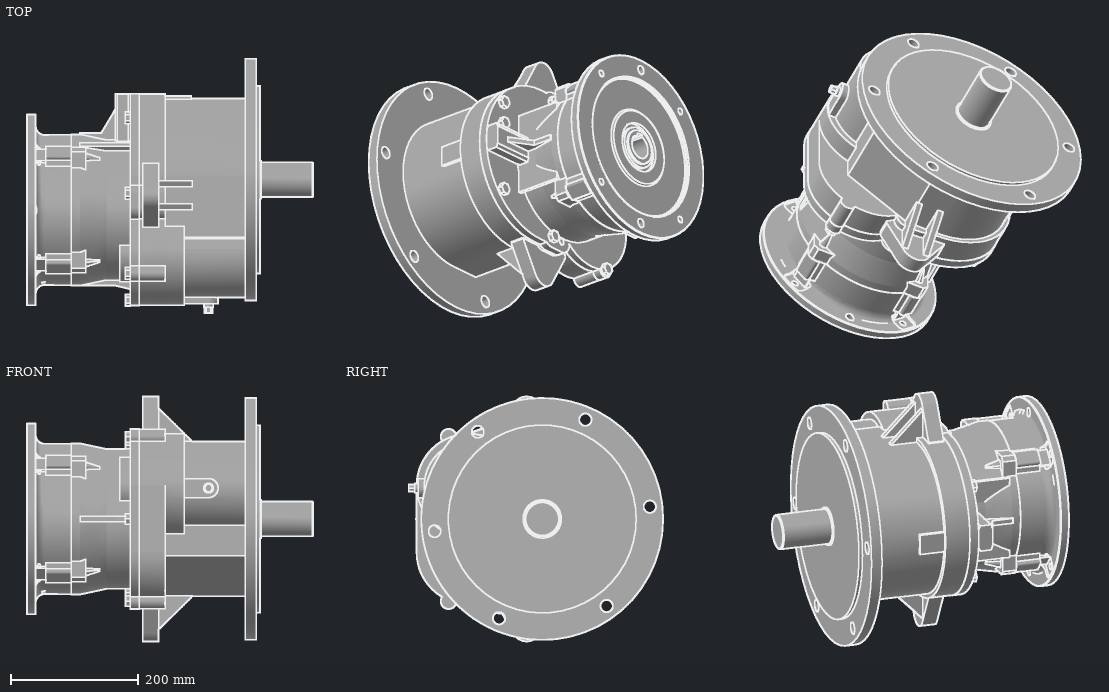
import cadquery as cq
import math


TOTAL_LENGTH = 450.0
MOTOR_FLANGE_THICK = 14.5
BARREL_START = 29.0
BARREL_STEP = 70.0
CONE_START = 83.5
CONE_END = 122.5
NECK_START = 125.0
COVER_START = 162.5
COVER_THICK = 14.5
GEARCASE_END = 217.5
PINION_CASE_END = 247.5
SPIGOT_LENGTH = 6.0
OUTPUT_FLANGE_START = 343.0
OUTPUT_FLANGE_THICK = 17.5
OUTPUT_FLANGE_END = OUTPUT_FLANGE_START + OUTPUT_FLANGE_THICK
SPIGOT_END = OUTPUT_FLANGE_END + SPIGOT_LENGTH
COVER_END = COVER_START + COVER_THICK

INPUT_Y = -47.5
WHEEL_Y = 6.0
PINION_Y = -115.5
PINION_Z = 52.0

MOTOR_FLANGE_DIA = 300.0
MOTOR_BOLT_CIRCLE = 265.0
BARREL_RADIUS = 118.8
BARREL_RELIEF = 0.5
NECK_RADIUS = 110.0
NECK_BLEND = 0.6
FLANGE_FILLET_RADIUS = 130.0
FLANGE_RIM_CHAMFER = 1.0
MOTOR_HOLE_DIA = 14.0
LUG_HOLE_DIA = 10.2
SPOTFACE_WIDTH = 38.0
SPOTFACE_OUTER_RADIUS = 146.0
SPOTFACE_CORNER = 8.0
SPOTFACE_START = 11.5
LUG_WIDTH = 26.0
LUG_RADIUS = 131.0
LUG_FLARE_WIDTH = 40.0
LUG_FLARE_RADIUS = 123.0
LUG_FLARE_BASE = 116.5
PEDESTAL_RADIUS = 122.0
LUG_START = 30.0
LUG_EDGE_FILLET = 4.0
LUG_BLOCK_OUTER = 98.4
LUG_BLOCK_SIDE = 40.0
LUG_BLOCK_CHAMFER = 7.0
LUG_BLOCK_END = 92.4
LUG_TAIL_DIA = 14.0
LUG_TAIL_CENTRE = 82.3
LUG_TAIL_TIP_DIA = 4.0
LUG_TAIL_TIP_CENTRE = 80.0
LUG_TAIL_END = 115.0

RECESS_DIA = 230.0
RECESS_STEP_DEPTH = 3.5
RECESS_INNER_DIA = 225.0
RECESS_DEPTH = 7.0
RING_OUTER_DIA = 126.0
RING_FACE_DIA = 120.0
RING_HEIGHT = 3.0
SEAL_POCKET_DIA = 80.0
SEAL_POCKET_DEPTH = 9.5
HUB_DIA = 66.4
HUB_NOSE_DIA = 55.0
HUB_FACE = 5.0
HUB_NOSE_FACE = 2.0
BORE_DIA = 38.0
BORE_DEPTH = 80.0
KEY_WIDTH = 10.0
KEY_TOP = 22.3

WHEEL_CASE_RADIUS = 129.0
PINION_CASE_RADIUS = 82.0
CASE_INSET = 0.4
CORNER_BOSS_Y = -147.0
CORNER_BOSS_Z = 129.0
CORNER_BOSS_RADIUS = 12.5
BUMP_RADIUS = 18.0
BUMP_BOLT_Y = -21.0
BUMP_Z = 116.0
BUMP_HOLE_Y = -44.0
BUMP_HOLE_DIA = 10.2
BOLT_HEX_DIA = 19.0
BOLT_HEAD_HEIGHT = 7.5
EXTRA_BOLTS = [(97.0, 75.0), (97.0, -75.0), (97.0, 39.0), (-189.0, 0.0)]
PAD_RADIUS = 45.0
PAD_HEIGHT = 16.5

BODY_RADIUS = 121.7
BODY_PINION_RADIUS = BODY_RADIUS - PINION_Z
BODY_WALL_Y = -147.0
BODY_WALL_BOTTOM_Z = -58.0
BODY_KEEL_Y = -45.0
GROOVE_START_Y = -90.0
GROOVE_BOTTOM_Y = -93.0
GROOVE_END_Y = -109.0
GROOVE_DEPTH = 4.0

OUTPUT_FLANGE_DIA = 380.0
SPIGOT_DIA = 295.0
OUTPUT_HOLE_DIA = 19.0
OUTPUT_BOLT_RADIUS = 170.0
OUTPUT_HOLE_COUNT = 6
OUTPUT_HOLE_START = 6.5
SHAFT_DIA = 55.0
COLLAR_DIA = 60.0
COLLAR_LENGTH = 2.0
SHAFT_CHAMFER = 1.5

FOOT_TIP_Z = 384.85 / 2
FOOT_Y = -24.5
FOOT_TIP_RADIUS = 23.0
FOOT_HALF_WIDTH = 50.0
FOOT_START = 182.0
FOOT_END = 207.0
FOOT_SLOPE = math.radians(60)
GUSSET_THICK = 9.5
GUSSET_OFFSET = 18.2
GUSSET_LENGTH = 53.0
GUSSET_TOP_Z = 174.0

RIB_THICK = 8.0
RIB_HEIGHT = 121.0
BRACKET_START = 139.0
BRACKET_INNER_Y = 60.0
BRACKET_OUTER_Y = 134.8
BRACKET_WIDTH = 42.0
BRACKET_EDGE_X = 3.0
BRACKET_EDGE_Z = 6.0
RIB_SLOPE_START = 117.0
RIB_TOP_Y = 110.5
SIDE_RIB_START = 84.0
SIDE_RIB_END_RADIUS = 124.5
WEB_OUTER_Y = 58.0
WEB_CREST_Y = 52.5
WEB_FOOT_Y = 45.0
WEB_CREST_Z = 66.0
WEB_FOOT_Z = 59.0

PLUG_X = 285.5
PLUG_Z = 48.5
PLUG_PAD_RADIUS = 15.0
PLUG_PAD_Y = -195.0
PLUG_COLLAR_DIA = 15.0
PLUG_COLLAR_HEIGHT = 5.5
PLUG_HEX_DIA = 13.0
PLUG_END_Y = -209.58
STRIP_LENGTH = 41.0
STRIP_OUTER_Y = 131.5
STRIP_DEPTH = 6.0
STRIP_WIDTH = 32.0


def section(x, y=0.0, z=0.0):
    """Workplane square to X; its axes are Y and Z, extruding toward +X."""
    return cq.Workplane("YZ", origin=(x, y, z))


def disc(x0, x1, dia, y=0.0, z=0.0):
    """Round bar along X between two stations."""
    return section(x0, y, z).circle(dia / 2).extrude(x1 - x0)


def block(x0, x1, y0, y1, z0, z1):
    """Box given by its limits."""
    return cq.Workplane().box(x1 - x0, y1 - y0, z1 - z0, centered=False).translate((x0, y0, z0))


def both_sides(solid):
    """The solid joined with its mirror image across Z = 0."""
    return solid.union(solid.mirror("XY"))


def around_input(solid, count, start):
    """Copies of a solid spaced evenly about the input axis."""
    axis_start = (0, INPUT_Y, 0)
    axis_end = (1, INPUT_Y, 0)
    copies = solid.rotate(axis_start, axis_end, start)
    for index in range(1, count):
        copies = copies.union(solid.rotate(axis_start, axis_end, start + index * 360.0 / count))
    return copies


def make_barrel():
    """Turned motor flange, relieved barrel, cone and neck."""
    rim = MOTOR_FLANGE_DIA / 2
    relief_radius = BARREL_RADIUS - BARREL_RELIEF
    drop = FLANGE_FILLET_RADIUS - relief_radius
    run = BARREL_START - MOTOR_FLANGE_THICK
    middle = (
        BARREL_START - run * math.sin(math.pi / 4),
        FLANGE_FILLET_RADIUS - drop * math.sin(math.pi / 4),
    )
    profile = (
        cq.Workplane("XY")
        .moveTo(0, 0)
        .lineTo(0, rim - FLANGE_RIM_CHAMFER)
        .lineTo(FLANGE_RIM_CHAMFER, rim)
        .lineTo(MOTOR_FLANGE_THICK - FLANGE_RIM_CHAMFER, rim)
        .lineTo(MOTOR_FLANGE_THICK, rim - FLANGE_RIM_CHAMFER)
        .lineTo(MOTOR_FLANGE_THICK, FLANGE_FILLET_RADIUS)
        .threePointArc(middle, (BARREL_START, relief_radius))
        .lineTo(BARREL_STEP, relief_radius)
        .lineTo(BARREL_STEP, BARREL_RADIUS)
        .lineTo(CONE_START, BARREL_RADIUS)
        .lineTo(CONE_END, NECK_RADIUS + NECK_BLEND)
        .lineTo(NECK_START, NECK_RADIUS)
        .lineTo(COVER_START, NECK_RADIUS)
        .lineTo(COVER_START, 0)
        .close()
    )
    return profile.revolve(360, (0, 0, 0), (1, 0, 0)).translate((0, INPUT_Y, 0))


def make_lugs():
    """Four flared clamp lugs at 45 degrees, each with a pedestal, a square block and a tail."""
    half = LUG_WIDTH / 2
    flare = LUG_FLARE_WIDTH / 2
    lug = (
        section(LUG_START)
        .moveTo(-flare, LUG_FLARE_BASE)
        .lineTo(-half, LUG_FLARE_RADIUS)
        .lineTo(-half, LUG_RADIUS)
        .lineTo(half, LUG_RADIUS)
        .lineTo(half, LUG_FLARE_RADIUS)
        .lineTo(flare, LUG_FLARE_BASE)
        .lineTo(0, NECK_RADIUS)
        .close()
        .extrude(BARREL_STEP - LUG_START)
    )
    lug = lug.edges("|X and >Z").fillet(LUG_EDGE_FILLET)
    pedestal = block(SPOTFACE_START, LUG_START, -half, half, NECK_RADIUS, PEDESTAL_RADIUS)
    lug = lug.union(pedestal).translate((0, INPUT_Y, 0))
    inner = LUG_BLOCK_OUTER - LUG_BLOCK_SIDE
    end = block(BARREL_STEP, LUG_BLOCK_END, inner, LUG_BLOCK_OUTER, inner, LUG_BLOCK_OUTER)
    end = end.edges("|X and >Y and >Z").chamfer(LUG_BLOCK_CHAMFER)
    tip_shift = LUG_TAIL_TIP_CENTRE - LUG_TAIL_CENTRE
    tail = (
        section(LUG_BLOCK_END, LUG_TAIL_CENTRE, LUG_TAIL_CENTRE)
        .circle(LUG_TAIL_DIA / 2)
        .workplane(offset=LUG_TAIL_END - LUG_BLOCK_END)
        .center(tip_shift, tip_shift)
        .circle(LUG_TAIL_TIP_DIA / 2)
        .loft()
    )
    end = end.union(tail).translate((0, INPUT_Y, 0))
    return around_input(lug, 4, 45).union(around_input(end, 4, 0))


def cut_motor_holes(body):
    """Flange holes: two plain ones on the Z line and four spotfaced ones at the lugs."""
    radius = MOTOR_BOLT_CIRCLE / 2
    plain = disc(0, BARREL_START, MOTOR_HOLE_DIA, INPUT_Y, radius)
    small = disc(0, BARREL_START, LUG_HOLE_DIA, INPUT_Y, radius)
    return body.cut(around_input(plain, 2, 0)).cut(around_input(small, 4, 45))


def cut_spotfaces(body):
    """Bolt head clearances in the back of the motor flange."""
    half = SPOTFACE_WIDTH / 2
    face = block(SPOTFACE_START, LUG_START, -half, half, BARREL_RADIUS, SPOTFACE_OUTER_RADIUS)
    face = face.edges("|X and >Z").fillet(SPOTFACE_CORNER).translate((0, INPUT_Y, 0))
    return body.cut(around_input(face, 4, 45))


def cut_motor_recess(body):
    """Stepped spigot recess with a tapered raised ring, seal pocket, hub and keyed bore."""
    mouth = disc(0, RECESS_STEP_DEPTH, RECESS_DIA, INPUT_Y)
    recess = disc(0, RECESS_DEPTH, RECESS_INNER_DIA, INPUT_Y)
    ring = (
        section(RECESS_DEPTH - RING_HEIGHT, INPUT_Y)
        .circle(RING_FACE_DIA / 2)
        .workplane(offset=RING_HEIGHT)
        .circle(RING_OUTER_DIA / 2)
        .loft()
    )
    body = body.cut(recess).cut(mouth).union(ring)
    body = body.cut(disc(0, SEAL_POCKET_DEPTH, SEAL_POCKET_DIA, INPUT_Y))
    body = body.union(disc(HUB_FACE, SEAL_POCKET_DEPTH, HUB_DIA, INPUT_Y))
    body = body.union(disc(HUB_NOSE_FACE, HUB_FACE, HUB_NOSE_DIA, INPUT_Y))
    body = body.cut(disc(0, BORE_DEPTH, BORE_DIA, INPUT_Y))
    left = INPUT_Y - KEY_WIDTH / 2
    return body.cut(block(0, BORE_DEPTH, left, left + KEY_WIDTH, 0, KEY_TOP))


def case_outline(x0, x1, inset):
    """Wheel circle, twin pinion outline, bumps and corner bosses, drawn in by a small inset."""
    wheel_radius = WHEEL_CASE_RADIUS - inset
    pinion_radius = PINION_CASE_RADIUS - inset
    bump_radius = BUMP_RADIUS - inset
    outline = disc(x0, x1, 2 * wheel_radius, WHEEL_Y)
    outline_length = 2 * (PINION_Z + pinion_radius)
    pinions = section(x0, PINION_Y).slot2D(outline_length, 2 * pinion_radius, 90)
    outline = outline.union(pinions.extrude(x1 - x0))
    outline = outline.union(block(x0, x1, BUMP_BOLT_Y, WHEEL_Y, -wheel_radius, wheel_radius))
    bump_length = BUMP_BOLT_Y - BUMP_HOLE_Y + 2 * bump_radius
    bump_centre = (BUMP_BOLT_Y + BUMP_HOLE_Y) / 2
    bump = section(x0, bump_centre, BUMP_Z).slot2D(bump_length, 2 * bump_radius)
    corner_dia = 2 * (CORNER_BOSS_RADIUS - inset)
    corner = disc(x0, x1, corner_dia, CORNER_BOSS_Y, CORNER_BOSS_Z)
    return outline.union(both_sides(bump.extrude(x1 - x0))).union(both_sides(corner))


def make_gearcase():
    """Cover plate with a pad and two holes, gear case and the longer pinion case."""
    hole = disc(COVER_START, COVER_END, BUMP_HOLE_DIA, BUMP_HOLE_Y, BUMP_Z)
    cover = case_outline(COVER_START, COVER_END, 0).cut(both_sides(hole))
    pad = disc(COVER_START - PAD_HEIGHT, COVER_START, 2 * PAD_RADIUS, PINION_Y, PINION_Z)
    case = case_outline(COVER_END, GEARCASE_END, CASE_INSET)
    pinion_dia = 2 * (PINION_CASE_RADIUS - CASE_INSET)
    pinion_case = disc(GEARCASE_END, PINION_CASE_END, pinion_dia, PINION_Y, PINION_Z)
    return cover.union(pad).union(case).union(pinion_case)


def make_bolt_heads():
    """Hexagon heads on the cover plate."""
    places = list(EXTRA_BOLTS)
    for side in (1, -1):
        places.append((CORNER_BOSS_Y, side * CORNER_BOSS_Z))
        places.append((BUMP_BOLT_Y, side * BUMP_Z))
    plane = section(COVER_START - BOLT_HEAD_HEIGHT)
    return plane.pushPoints(places).polygon(6, BOLT_HEX_DIA).extrude(BOLT_HEAD_HEIGHT)


def make_body():
    """Output housing: wheel drum, flat top with a groove, pinion tunnel and a sloping lower wall."""
    length = OUTPUT_FLANGE_START - GEARCASE_END
    body = disc(GEARCASE_END, OUTPUT_FLANGE_START, 2 * BODY_RADIUS, WHEEL_Y)
    tunnel = disc(GEARCASE_END, OUTPUT_FLANGE_START, 2 * BODY_PINION_RADIUS, PINION_Y, PINION_Z)
    core = (
        section(GEARCASE_END)
        .moveTo(WHEEL_Y, BODY_RADIUS)
        .lineTo(PINION_Y, BODY_RADIUS)
        .lineTo(PINION_Y, PINION_Z)
        .lineTo(BODY_WALL_Y, PINION_Z)
        .lineTo(BODY_WALL_Y, BODY_WALL_BOTTOM_Z)
        .lineTo(BODY_KEEL_Y, -BODY_RADIUS)
        .lineTo(WHEEL_Y, -BODY_RADIUS)
        .close()
        .extrude(length)
    )
    groove = (
        section(PINION_CASE_END)
        .moveTo(GROOVE_START_Y, BODY_RADIUS)
        .lineTo(GROOVE_BOTTOM_Y, BODY_RADIUS - GROOVE_DEPTH)
        .lineTo(GROOVE_END_Y, BODY_RADIUS)
        .close()
        .extrude(OUTPUT_FLANGE_START - PINION_CASE_END)
    )
    return body.union(tunnel).union(core).cut(groove)


def make_output():
    """Output flange with six holes, spigot, collar and shaft."""
    flange = disc(OUTPUT_FLANGE_START, OUTPUT_FLANGE_END, OUTPUT_FLANGE_DIA)
    flange = flange.union(disc(OUTPUT_FLANGE_END, SPIGOT_END, SPIGOT_DIA))
    for index in range(OUTPUT_HOLE_COUNT):
        angle = math.radians(OUTPUT_HOLE_START + index * 360.0 / OUTPUT_HOLE_COUNT)
        hole_y = OUTPUT_BOLT_RADIUS * math.cos(angle)
        hole_z = OUTPUT_BOLT_RADIUS * math.sin(angle)
        flange = flange.cut(disc(OUTPUT_FLANGE_START, SPIGOT_END, OUTPUT_HOLE_DIA, hole_y, hole_z))
    shaft = disc(SPIGOT_END, TOTAL_LENGTH, SHAFT_DIA).faces(">X").edges().chamfer(SHAFT_CHAMFER)
    collar = disc(SPIGOT_END, SPIGOT_END + COLLAR_LENGTH, COLLAR_DIA)
    return flange.union(collar).union(shaft)


def make_feet():
    """Triangular rounded feet above and below, each with two gussets behind."""
    centre_z = FOOT_TIP_Z - FOOT_TIP_RADIUS
    touch_y = FOOT_TIP_RADIUS * math.sin(FOOT_SLOPE)
    touch_z = centre_z + FOOT_TIP_RADIUS * math.cos(FOOT_SLOPE)
    base_z = touch_z - (FOOT_HALF_WIDTH - touch_y) * math.tan(FOOT_SLOPE)
    foot = (
        section(FOOT_START, FOOT_Y)
        .moveTo(-FOOT_HALF_WIDTH, 0)
        .lineTo(-FOOT_HALF_WIDTH, base_z)
        .lineTo(-touch_y, touch_z)
        .threePointArc((0, FOOT_TIP_Z), (touch_y, touch_z))
        .lineTo(FOOT_HALF_WIDTH, base_z)
        .lineTo(FOOT_HALF_WIDTH, 0)
        .close()
        .extrude(FOOT_END - FOOT_START)
    )
    gusset = (
        cq.Workplane("XZ")
        .moveTo(FOOT_END, 0)
        .lineTo(FOOT_END, GUSSET_TOP_Z)
        .lineTo(FOOT_END + GUSSET_LENGTH, BODY_RADIUS)
        .lineTo(FOOT_END + GUSSET_LENGTH, 0)
        .close()
        .extrude(GUSSET_THICK / 2, both=True)
    )
    for side in (1, -1):
        foot = foot.union(gusset.translate((0, FOOT_Y + side * GUSSET_OFFSET, 0)))
    return both_sides(foot)


def make_ribs():
    """Bracket with its sloping rib, the opposite rib, and leaning side webs on the barrel."""
    half = BRACKET_WIDTH / 2
    face_half = half - BRACKET_EDGE_Z
    bracket = (
        cq.Workplane("XZ", origin=(0, BRACKET_OUTER_Y, 0))
        .moveTo(BRACKET_START, -face_half)
        .lineTo(BRACKET_START, face_half)
        .lineTo(BRACKET_START + BRACKET_EDGE_X, half)
        .lineTo(COVER_START - BRACKET_EDGE_X, half)
        .lineTo(COVER_START, face_half)
        .lineTo(COVER_START, -face_half)
        .lineTo(COVER_START - BRACKET_EDGE_X, -half)
        .lineTo(BRACKET_START + BRACKET_EDGE_X, -half)
        .close()
        .extrude(BRACKET_OUTER_Y - BRACKET_INNER_Y)
    )
    crest = INPUT_Y + RIB_HEIGHT
    sloping = (
        cq.Workplane("XY")
        .moveTo(CONE_START, INPUT_Y)
        .lineTo(CONE_START, crest)
        .lineTo(RIB_SLOPE_START, crest)
        .lineTo(BRACKET_START, RIB_TOP_Y)
        .lineTo(COVER_START, RIB_TOP_Y)
        .lineTo(COVER_START, INPUT_Y)
        .close()
        .extrude(RIB_THICK / 2, both=True)
    )
    opposite = (
        cq.Workplane("XY")
        .moveTo(SIDE_RIB_START, INPUT_Y)
        .lineTo(SIDE_RIB_START, INPUT_Y - BARREL_RADIUS)
        .lineTo(BRACKET_START, INPUT_Y - BARREL_RADIUS)
        .lineTo(COVER_START, INPUT_Y - SIDE_RIB_END_RADIUS)
        .lineTo(COVER_START, INPUT_Y)
        .close()
        .extrude(RIB_THICK / 2, both=True)
    )
    web = (
        section(CONE_START)
        .moveTo(WEB_FOOT_Y, 0)
        .lineTo(WEB_FOOT_Y, WEB_FOOT_Z)
        .lineTo(WEB_CREST_Y, WEB_CREST_Z)
        .lineTo(WEB_OUTER_Y, WEB_CREST_Z)
        .lineTo(WEB_OUTER_Y, 0)
        .close()
        .extrude(COVER_START - CONE_START)
    )
    return bracket.union(sloping).union(opposite).union(both_sides(web))


def make_plug():
    """Oil plug on a round-ended pad beside the pinion tunnel."""
    low = PLUG_Z - PLUG_PAD_RADIUS
    high = PLUG_Z + PLUG_PAD_RADIUS
    pad = block(PINION_CASE_END, PLUG_X, PLUG_PAD_Y, PINION_Y, low, high)
    seat = cq.Workplane("XZ", origin=(PLUG_X, PINION_Y, PLUG_Z))
    pad = pad.union(seat.circle(PLUG_PAD_RADIUS).extrude(PINION_Y - PLUG_PAD_Y))
    collar = cq.Workplane("XZ", origin=(PLUG_X, PLUG_PAD_Y, PLUG_Z))
    pad = pad.union(collar.circle(PLUG_COLLAR_DIA / 2).extrude(PLUG_COLLAR_HEIGHT))
    return pad.union(collar.polygon(6, PLUG_HEX_DIA).extrude(PLUG_PAD_Y - PLUG_END_Y))


def make_strip():
    """Narrow rib on the wheel side of the output housing."""
    half = STRIP_WIDTH / 2
    inner = STRIP_OUTER_Y - STRIP_DEPTH
    return block(GEARCASE_END, GEARCASE_END + STRIP_LENGTH, inner, STRIP_OUTER_Y, -half, half)


input_side = cut_spotfaces(make_barrel()).union(make_lugs())
input_side = cut_motor_recess(cut_motor_holes(input_side))
gear_side = make_gearcase().union(make_bolt_heads()).union(make_body()).union(make_output())
fittings = make_feet().union(make_plug()).union(make_strip())
result = input_side.union(make_ribs()).union(gear_side).union(fittings)